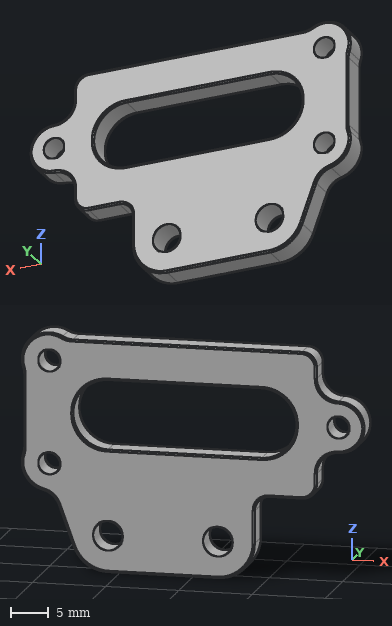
import cadquery as cq
import math


thickness = 4.0
plate_left = -3.45
plate_right = 36.5
plate_half_height = 10.0
edge_chamfer = 0.25

left_lobe_radius = 3.8
left_hole_z = 7.0
right_lobe_radius = 3.5
right_hole_x = 39.5
lobe_hole_diameter = 3.0

foot_hole_xs = (8.0, 23.0)
foot_hole_z = -16.45
foot_hole_diameter = 4.02
foot_corner_radius = 5.0
foot_slope_angle = math.radians(20)

slot_centre_x = 18.5
slot_length = 30.5
slot_height = 9.5

corner_radius = 2.0
blend_radius = 3.0

left_lobe_centres = [(0, left_hole_z), (0, -left_hole_z)]
right_lobe_centre = (right_hole_x, 0)
foot_hole_centres = [(x, foot_hole_z) for x in foot_hole_xs]

foot_bottom = foot_hole_z - foot_corner_radius
foot_right = foot_hole_xs[1] + foot_corner_radius


def slope_x(z):
    """X of the sloped foot flank at height z; it is tangent to the left foot corner arc."""
    x_beside_hole = foot_hole_xs[0] - foot_corner_radius / math.cos(foot_slope_angle)
    return x_beside_hole - (z - foot_hole_z) * math.tan(foot_slope_angle)


def half_chord(radius, distance):
    """Half length of the chord lying at the given distance from a circle's centre."""
    return math.sqrt(radius**2 - distance**2)


def extruded(sketch):
    """Extrude an XZ sketch through the plate thickness."""
    return sketch.extrude(thickness / 2, both=True)


def cylinders(centres, diameter):
    """Full-thickness cylinders at the given (x, z) centres."""
    return extruded(cq.Workplane("XZ").pushPoints(centres).circle(diameter / 2))


def round_corners(body, corners, radius):
    """Fillet the through-thickness edge found at each (x, z) corner."""
    for x, z in corners:
        edge = body.edges("|Y").edges(cq.selectors.NearestToPointSelector((x, 0, z)))
        body = edge.fillet(radius)
    return body


foot_corners = [(foot_right, foot_bottom), (slope_x(foot_bottom), foot_bottom)]
plate_corners = [(plate_right, plate_half_height), (plate_right, -plate_half_height)]
foot_inner_corner = (foot_right, -plate_half_height)
outline = [
    (plate_left, left_hole_z),
    (0, left_hole_z),
    (0, plate_half_height),
    *plate_corners,
    foot_inner_corner,
    *foot_corners,
    (slope_x(-left_hole_z), -left_hole_z),
    (plate_left, -left_hole_z),
]
body = extruded(cq.Workplane("XZ").polyline(outline).close())

body = body.union(cylinders(left_lobe_centres, 2 * left_lobe_radius))
body = body.union(cylinders([right_lobe_centre], 2 * right_lobe_radius))

top_junction = (half_chord(left_lobe_radius, plate_half_height - left_hole_z), plate_half_height)
side_junction_z = left_hole_z - half_chord(left_lobe_radius, plate_left)
side_junctions = [(plate_left, side_junction_z), (plate_left, -side_junction_z)]
neck_z = half_chord(right_lobe_radius, right_hole_x - plate_right)
neck_junctions = [(plate_right, neck_z), (plate_right, -neck_z)]

flank_distance = -slope_x(-left_hole_z) * math.cos(foot_slope_angle)
flank_run = half_chord(left_lobe_radius, flank_distance)
flank_junction = (
    -flank_distance * math.cos(foot_slope_angle) + flank_run * math.sin(foot_slope_angle),
    -left_hole_z - flank_distance * math.sin(foot_slope_angle) - flank_run * math.cos(foot_slope_angle),
)

body = round_corners(body, foot_corners, foot_corner_radius)
body = round_corners(body, plate_corners + [foot_inner_corner], corner_radius)
lobe_junctions = [top_junction, flank_junction] + side_junctions + neck_junctions
body = round_corners(body, lobe_junctions, blend_radius)

slot = extruded(cq.Workplane("XZ").center(slot_centre_x, 0).slot2D(slot_length, slot_height))
body = body.cut(slot).faces("<Y or >Y").edges().chamfer(edge_chamfer)

body = body.cut(cylinders(left_lobe_centres + [right_lobe_centre], lobe_hole_diameter))
result = body.cut(cylinders(foot_hole_centres, foot_hole_diameter))